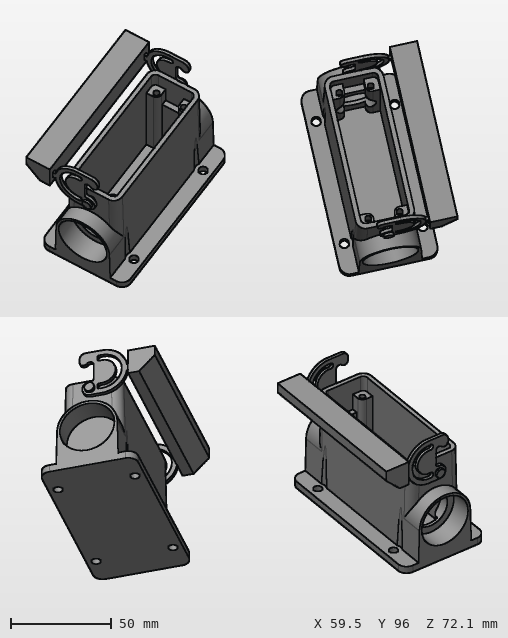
import cadquery as cq
import math


base_length = 96.0
base_width = 49.9
base_thickness = 4.1
base_corner_radius = 5.2

mount_pitch_x = 39.9
mount_pitch_y = 64.0
mount_hole_diameter = 4.7
screw_relief_radius = 4.4

body_length = 79.7
body_top = 57.0
half_width_bottom = 16.1
half_width_top = 14.9
body_corner_radius = 5.0

cavity_width = 24.6
cavity_length = 74.5
cavity_corner_radius = 2.5
cavity_floor = base_thickness

post_top = 48.2
post_inner_x = 5.4
post_inner_y = 30.2
post_round = 3.0
post_hole_diameter = 3.2
post_hole_pitch_x = 16.0
post_hole_pitch_y = 66.0
post_hole_depth = 9.6

entry_height = 23.2
socket_diameter = 28.3
socket_depth = 12.0
entry_wall = 1.9
entry_hole_diameter = 20.4

plate_outer_y = 43.2
plate_thickness = 1.8
lever_radius = 13.0
lever_centre_x = -6.3
slot_radius = 8.5
slot_width = 3.2
slot_end_x = -5.3
pivot_height = 50.1
pivot_lug_radius = 4.0
lug_fillet_radius = 1.5
lever_neck_x = -1.9
hook_right_x = 5.5
hook_top_radius = 3.5
hook_tip_radius = 2.3
notch_height = 64.1

shank_diameter = 4.2
pin_head_diameter = 5.1
pin_end_y = 44.6

bar_length = 92.0
bar_left_x = -34.6
bar_width = 13.9
bar_bottom = 53.1
bar_height = 13.8
bar_chamfer = 8.2
tab_height = 3.9

wall_slope = (half_width_bottom - half_width_top) / (body_top - base_thickness)
wall_angle = math.atan(wall_slope)
half_width_at_entry = half_width_bottom - wall_slope * (entry_height - base_thickness)
entry_radius = half_width_at_entry * math.cos(wall_angle)
socket_floor_y = base_length / 2 - socket_depth
entry_pad_y = socket_floor_y - entry_wall
entry_pad_top = entry_height + entry_radius
lever_centre_z = pivot_height - pivot_lug_radius + lever_radius


def along_y(plan, y_start, y_end):
    """Draw an outline with plan on an XZ plane and extrude it from y_start to y_end."""
    plane = cq.Workplane("XZ", origin=(0, y_start, 0))
    return plan(plane).extrude(y_start - y_end)


def disc(diameter, x, z, y_start, y_end):
    """Cylinder lying along Y."""
    return along_y(lambda plane: plane.center(x, z).circle(diameter / 2), y_start, y_end)


def block(x_start, x_end, y_start, y_end, z_start, z_end):
    """Box given by its limits along each axis."""
    return cq.Workplane("XY").box(
        x_end - x_start, y_end - y_start, z_end - z_start, centered=False
    ).translate((x_start, y_start, z_start))


def base_plate():
    plate = cq.Workplane("XY").rect(base_width, base_length).extrude(base_thickness)
    plate = plate.edges("|Z").fillet(base_corner_radius)
    return plate.faces(">Z").workplane().rect(
        mount_pitch_x, mount_pitch_y, forConstruction=True
    ).vertices().hole(mount_hole_diameter)


def tapered_body():
    outline = [
        (-half_width_bottom, base_thickness),
        (half_width_bottom, base_thickness),
        (half_width_top, body_top),
        (-half_width_top, body_top),
    ]
    half_length = body_length / 2
    body = along_y(lambda plane: plane.polyline(outline).close(), -half_length, half_length)
    upright_edges = body.edges("not(#Z or |Y)")
    return upright_edges.fillet(body_corner_radius)


def entry_hood():
    """Full-length hood whose round top runs tangent into the leaning walls."""
    tangent_x = entry_radius * math.cos(wall_angle)
    tangent_z = entry_height + entry_radius * math.sin(wall_angle)

    def outline(plane):
        return (
            plane.moveTo(-half_width_bottom, base_thickness)
            .lineTo(half_width_bottom, base_thickness)
            .lineTo(tangent_x, tangent_z)
            .threePointArc((0, entry_height + entry_radius), (-tangent_x, tangent_z))
            .close()
        )

    return along_y(outline, -base_length / 2, base_length / 2)


def screw_reliefs():
    return cq.Workplane("XY", origin=(0, 0, base_thickness)).rect(
        mount_pitch_x, mount_pitch_y, forConstruction=True
    ).vertices().circle(screw_relief_radius).extrude(body_top)


def cavity():
    """Cavity space, leaving the corner posts and the entry pads standing."""
    half_width = cavity_width / 2
    half_length = cavity_length / 2
    space = block(-half_width, half_width, -half_length, half_length, cavity_floor, body_top)
    space = space.edges("|Z").fillet(cavity_corner_radius)
    post = block(post_inner_x, half_width, post_inner_y, half_length, cavity_floor, post_top)
    post = post.edges("|Z and <X and <Y").fillet(post_round)
    pad = block(-post_inner_x, post_inner_x, entry_pad_y, half_length, cavity_floor, entry_pad_top)
    corner_pair = post.union(post.mirror("YZ")).union(pad)
    return space.cut(corner_pair).cut(corner_pair.mirror("XZ"))


def post_screw_holes():
    return cq.Workplane("XY", origin=(0, 0, post_top)).rect(
        post_hole_pitch_x, post_hole_pitch_y, forConstruction=True
    ).vertices().circle(post_hole_diameter / 2).extrude(-post_hole_depth)


def side_plate():
    """Lever side plate at the -Y end, with its curved slot."""
    lever_top = lever_centre_z + lever_radius
    lever_bottom = lever_centre_z - lever_radius

    notch_radius = -lever_neck_x
    tip_x = hook_right_x - hook_tip_radius
    touch_distance = notch_radius + hook_tip_radius
    tip_rise = math.sqrt(touch_distance**2 - tip_x**2)
    tip_z = notch_height + tip_rise
    touch_x = tip_x * notch_radius / touch_distance
    touch_z = notch_height + tip_rise * notch_radius / touch_distance

    fillet_x = lever_neck_x + lug_fillet_radius
    fillet_distance = pivot_lug_radius + lug_fillet_radius
    fillet_rise = math.sqrt(fillet_distance**2 - fillet_x**2)
    lug_touch_x = fillet_x * pivot_lug_radius / fillet_distance
    lug_touch_z = pivot_height + fillet_rise * pivot_lug_radius / fillet_distance

    def outline(plane):
        return (
            plane.moveTo(0, lever_bottom)
            .lineTo(lever_centre_x, lever_bottom)
            .threePointArc(
                (lever_centre_x - lever_radius, lever_centre_z), (lever_centre_x, lever_top)
            )
            .lineTo(hook_right_x - hook_top_radius, lever_top)
            .radiusArc((hook_right_x, lever_top - hook_top_radius), hook_top_radius)
            .lineTo(hook_right_x, tip_z)
            .threePointArc((tip_x, tip_z - hook_tip_radius), (touch_x, touch_z))
            .threePointArc((0, notch_height + notch_radius), (lever_neck_x, notch_height))
            .lineTo(lever_neck_x, pivot_height + fillet_rise)
            .radiusArc((lug_touch_x, lug_touch_z), -lug_fillet_radius)
            .threePointArc((pivot_lug_radius, pivot_height), (0, lever_bottom))
            .close()
        )

    def slot_outline(plane):
        outer = slot_radius + slot_width / 2
        inner = slot_radius - slot_width / 2
        end_reach = slot_end_x + slot_width / 2
        return (
            plane.moveTo(lever_centre_x, lever_centre_z - outer)
            .threePointArc(
                (lever_centre_x - outer, lever_centre_z), (lever_centre_x, lever_centre_z + outer)
            )
            .lineTo(slot_end_x, lever_centre_z + outer)
            .threePointArc(
                (end_reach, lever_centre_z + slot_radius), (slot_end_x, lever_centre_z + inner)
            )
            .lineTo(lever_centre_x, lever_centre_z + inner)
            .threePointArc(
                (lever_centre_x - inner, lever_centre_z), (lever_centre_x, lever_centre_z - inner)
            )
            .lineTo(slot_end_x, lever_centre_z - inner)
            .threePointArc(
                (end_reach, lever_centre_z - slot_radius), (slot_end_x, lever_centre_z - outer)
            )
            .close()
        )

    y_start = -plate_outer_y
    y_end = y_start + plate_thickness
    plate = along_y(outline, y_start, y_end).cut(along_y(slot_outline, y_start, y_end))
    tab_start = bar_left_x + bar_width
    tab_end = lever_centre_x - (lever_radius + slot_radius) / 2
    half_tab = tab_height / 2
    tab = block(tab_start, tab_end, y_start, y_end, lever_centre_z - half_tab, lever_centre_z + half_tab)
    return plate.union(tab)


def pivot_pin():
    """Pin at the -Y end: a shank from the end wall and a head outside the plate."""
    shank = disc(shank_diameter, 0, pivot_height, -plate_outer_y, -cavity_length / 2)
    head = disc(pin_head_diameter, 0, pivot_height, -pin_end_y, -plate_outer_y)
    return shank.union(head)


def handle_bar():
    bar = block(
        bar_left_x, bar_left_x + bar_width, -bar_length / 2, bar_length / 2,
        bar_bottom, bar_bottom + bar_height,
    )
    return bar.edges("<X and <Z").chamfer(bar_chamfer)


housing = tapered_body().union(entry_hood()).cut(screw_reliefs()).union(base_plate())
housing = housing.cut(cavity()).cut(post_screw_holes())

end_socket = disc(socket_diameter, 0, entry_height, -base_length / 2, -socket_floor_y)
entry_hole = disc(entry_hole_diameter, 0, entry_height, -base_length / 2, 0)
housing = housing.cut(end_socket).cut(end_socket.mirror("XZ")).cut(entry_hole)

lever_end = side_plate().union(pivot_pin())
result = housing.union(lever_end).union(lever_end.mirror("XZ")).union(handle_bar())